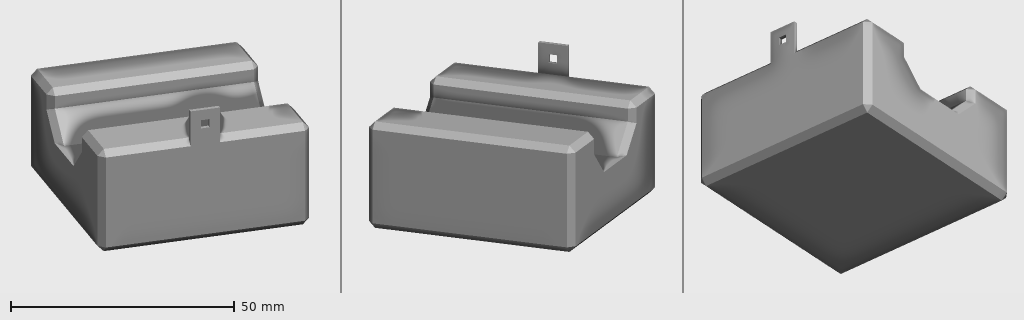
import cadquery as cq
import math

side = 50.0
block_height = 25.0
chamfer = 1.5

groove_apothem = 11.0
groove_floor = block_height - groove_apothem

tab_thickness = 1.0
tab_width = 7.0
tab_rise = 7.0
hole_side = 2.0
part_height = block_height + tab_rise


def octagon_corners(apothem):
    """Corners of a regular octagon with flat top and bottom, around the groove axis."""
    half_flat = apothem * math.tan(math.pi / 8)
    quarter = [(half_flat, apothem), (apothem, half_flat)]
    right = quarter + [(x, -z) for x, z in reversed(quarter)]
    left = [(-x, z) for x, z in reversed(right)]
    return [(x, block_height + z) for x, z in right + left]


def groove_mouth(end):
    """Flared end of the groove; end is -1 for the -Y face, +1 for the +Y face."""
    face = cq.Workplane("XZ", origin=(0, end * side / 2, 0))
    wide = face.polyline(octagon_corners(groove_apothem + chamfer)).close()
    narrow = wide.workplane(offset=end * chamfer).polyline(octagon_corners(groove_apothem)).close()
    return narrow.loft(ruled=True)


def groove():
    """Octagonal channel along Y, flared at its ends and top edges, with a level floor."""
    channel = cq.Workplane("XZ").polyline(octagon_corners(groove_apothem)).close().extrude(side / 2, both=True)
    for end in (-1, 1):
        channel = channel.union(groove_mouth(end))
    above_floor = cq.Workplane().box(side, side, side, centered=(True, True, False))
    return channel.intersect(above_floor.translate((0, 0, groove_floor)))


def rail(direction):
    """Bevelled box filling one side of the groove; direction is -1 for -X, +1 for +X."""
    width = side / 2 - groove_apothem
    box = cq.Workplane().box(width, side, block_height, centered=(True, True, False)).edges().chamfer(chamfer)
    return box.translate((direction * (side - width) / 2, 0, 0))


def top_edge_bevels():
    """Material to remove so that the groove's top edges and corners are bevelled like the rails."""
    width = 2 * (groove_apothem + chamfer)
    slab = cq.Workplane().box(width, side, chamfer, centered=(True, True, False))
    slab = slab.translate((0, 0, block_height - chamfer))
    return slab.cut(rail(-1)).cut(rail(1))


def tab():
    """Thin plate rising flush with the +X face, with a square hole through it."""
    bottom = block_height - chamfer
    plate = cq.Workplane().box(tab_thickness, tab_width, part_height - bottom, centered=(True, True, False))
    plate = plate.translate((side / 2 - tab_thickness / 2, 0, bottom))
    hole = cq.Workplane().box(side, hole_side, hole_side)
    return plate.cut(hole.translate((side / 2, 0, block_height + tab_rise / 2)))


block = cq.Workplane().box(side, side, block_height, centered=(True, True, False)).edges().chamfer(chamfer)
result = block.cut(groove()).cut(top_edge_bevels()).union(tab())